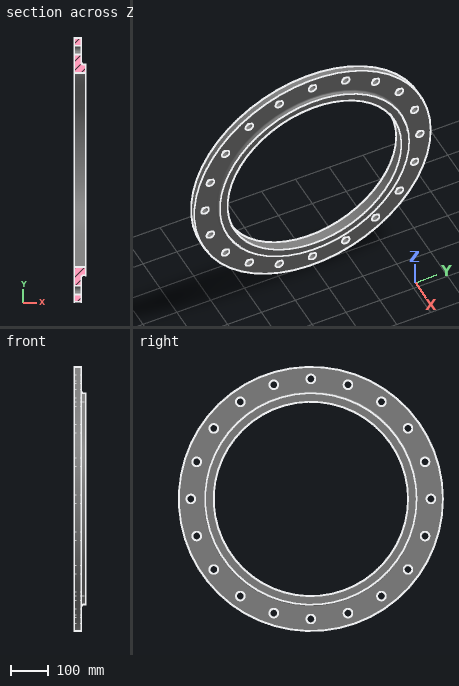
import cadquery as cq

outer_diameter = 698.5
bore_diameter = 513.0
flange_thickness = 19.5
total_thickness = 31.5

spigot_diameter = 559.0
root_fillet_radius = 5.0

bolt_count = 20
bolt_circle_diameter = 634.0
bolt_hole_diameter = 22.5


def disc(diameter, length):
    """Solid disc about the X axis, starting at X = 0."""
    return cq.Workplane("YZ").circle(diameter / 2).extrude(length)


body = disc(outer_diameter, flange_thickness).union(disc(spigot_diameter, total_thickness))
body = body.edges(cq.selectors.RadiusNthSelector(0)).edges("<X").fillet(root_fillet_radius)

bore = disc(bore_diameter, total_thickness)

bolt_holes = (
    cq.Workplane("YZ")
    .polarArray(bolt_circle_diameter / 2, 0, 360, bolt_count)
    .circle(bolt_hole_diameter / 2)
    .extrude(flange_thickness)
)

result = body.cut(bore).cut(bolt_holes)